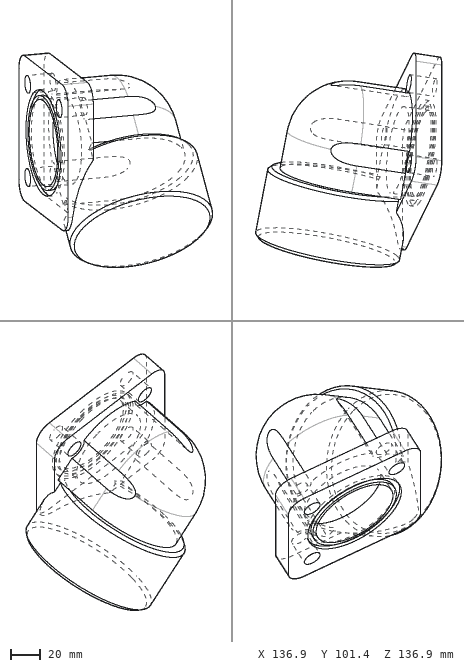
import cadquery as cq
import math

flange_side = 101.6
flange_thickness = 18.0
flange_corner_radius = 12.0

bolt_offset = 32.5
bolt_hole_diameter = 12.0
scallop_diameter = 18.0
bolt_centres = [(-bolt_offset, -bolt_offset), (bolt_offset, -bolt_offset), (-bolt_offset, bolt_offset)]

bore_diameter = 59.0
bore_depth = 17.0
groove_inner_diameter = 64.3
groove_outer_diameter = 72.0
groove_depth = 2.5

body_radius = 41.4
elbow_height = 52.0
body_length = elbow_height - flange_thickness

outlet_angle = 45.0
collar_radius = 49.4
collar_start = 26.0
collar_length = 48.8
collar_chamfer = 2.4


def along_y(start_y):
    """Workplane across the flange axis at start_y; its own Y is -Z, it extrudes toward +Y."""
    return cq.Workplane(cq.Plane(origin=(0, start_y, 0), xDir=(1, 0, 0), normal=(0, 1, 0)))


def along_outlet(distance):
    """Workplane across the outlet axis; its own X is +Y, it extrudes outward."""
    out_x = math.cos(math.radians(outlet_angle))
    out_z = -math.sin(math.radians(outlet_angle))
    origin = (distance * out_x, elbow_height, distance * out_z)
    return cq.Workplane(cq.Plane(origin=origin, xDir=(0, 1, 0), normal=(out_x, 0, out_z)))


def make_flange():
    plate = along_y(0).rect(flange_side, flange_side).extrude(flange_thickness)
    return plate.edges("|Y").fillet(flange_corner_radius)


def make_body():
    barrel = along_y(flange_thickness).circle(body_radius).extrude(body_length)
    dome = cq.Workplane("XY").sphere(body_radius).translate((0, elbow_height, 0))
    outlet_pipe = along_outlet(0).circle(body_radius).extrude(collar_start)
    outlet_base = (
        along_outlet(0)
        .center(-body_length / 2, 0)
        .rect(body_length, 2 * body_radius)
        .extrude(collar_start)
    )
    return barrel.union(outlet_base).union(dome).union(outlet_pipe)


def make_collar():
    collar = along_outlet(collar_start).circle(collar_radius).extrude(collar_length)
    return collar.edges().chamfer(collar_chamfer)


def make_scallops():
    return (
        along_y(flange_thickness)
        .pushPoints(bolt_centres)
        .circle(scallop_diameter / 2)
        .extrude(body_length + body_radius)
    )


def make_bolt_holes():
    return along_y(0).pushPoints(bolt_centres).circle(bolt_hole_diameter / 2).extrude(flange_thickness)


def make_port():
    bore = along_y(0).circle(bore_diameter / 2).extrude(bore_depth)
    groove = (
        along_y(0)
        .circle(groove_outer_diameter / 2)
        .circle(groove_inner_diameter / 2)
        .extrude(groove_depth)
    )
    return bore.union(groove)


body = make_body().cut(make_scallops())
result = make_flange().union(body).union(make_collar())
result = result.cut(make_bolt_holes()).cut(make_port())